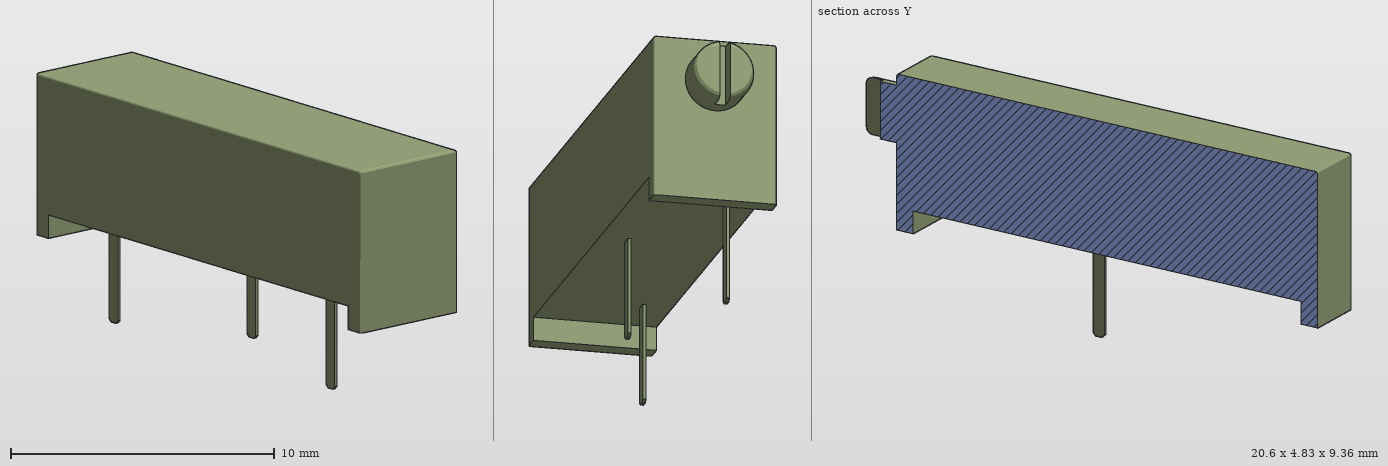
import cadquery as cq

overall_length = 20.57
screw_protrusion = 1.5
body_length = overall_length - screw_protrusion
body_width = 4.83
body_height = 6.38
edge_fillet = 0.12
foot_length = 0.76
foot_height = 0.93

screw_diameter = 2.37
screw_axis_height = 4.73
screw_fillet = 0.3
slot_width = 0.41
slot_depth = 0.76

pin_width = 0.51
pin_thickness = 0.12
pin_length_below_feet = 2.98
pin_tip_chamfer = 0.12
pin_row_offset = 1.28
first_pin_x = 4.8
first_to_middle_pin = 5.08
pin_pitch = first_to_middle_pin / 2
pin_layout = [(0, -1), (2, 1), (5, -1)]


def make_housing():
    """Rounded box whose underside is relieved between two end feet."""
    housing = (
        cq.Workplane("XY")
        .box(body_length, body_width, body_height, centered=(False, True, False))
        .edges("|Z or >Z")
        .fillet(edge_fillet)
    )
    relief = cq.Workplane("XY").box(
        body_length - 2 * foot_length, body_width, foot_height, centered=(False, True, False)
    )
    return housing.cut(relief.translate((foot_length, 0, 0))).translate((screw_protrusion, 0, 0))


def make_screw():
    """Round screw head with a rounded rim and a vertical driver slot."""
    head = (
        cq.Workplane("YZ")
        .center(0, screw_axis_height)
        .circle(screw_diameter / 2)
        .extrude(screw_protrusion)
        .faces("<X")
        .edges()
        .fillet(screw_fillet)
    )
    slot = cq.Workplane("XY").box(
        slot_depth, slot_width, screw_diameter, centered=(False, True, True)
    )
    return head.cut(slot.translate((0, 0, screw_axis_height)))


def make_pin(x, y):
    """Flat pin from the relieved underside, with its tip corners chamfered."""
    length = foot_height + pin_length_below_feet
    pin = (
        cq.Workplane("XY")
        .box(pin_width, pin_thickness, length, centered=(True, True, False))
        .edges("|Y and <Z")
        .chamfer(pin_tip_chamfer)
    )
    return pin.translate((x, y, -pin_length_below_feet))


result = make_housing().union(make_screw())
for pitches, side in pin_layout:
    result = result.union(make_pin(first_pin_x + pitches * pin_pitch, side * pin_row_offset))